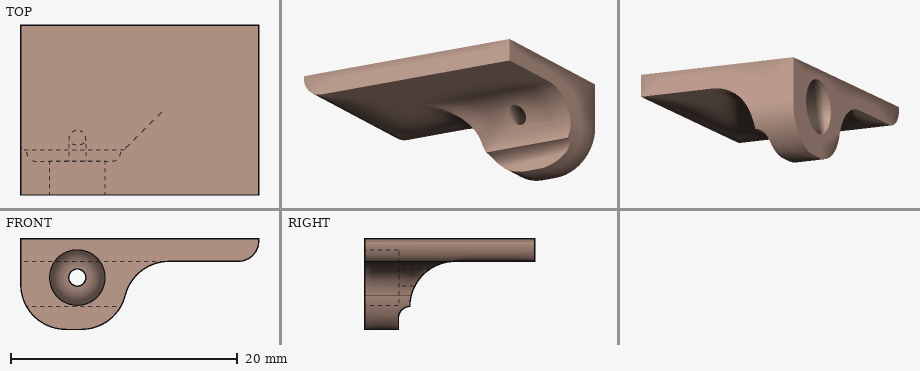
import cadquery as cq
import math

length = 21.0
width = 15.0
height = 8.0
plate_thickness = 2.0
tip_radius = 1.8

bend_radius = 4.0
lug_right_center_x = 5.35
lug_thickness = 4.0
step_radius = 1.0

hole_x = 5.0
hole_depth_below_top = 3.42
hole_diameter = 1.5
counterbore_diameter = 4.9
counterbore_depth = 3.0

CUT_MARGIN = 0.2
DIAGONAL = math.sqrt(0.5)

plate_bottom = height - plate_thickness
fillet_center_z = plate_bottom - bend_radius


def front_profile():
    """XZ outline: plate with rounded tip and a lug with tangent arcs."""
    rise = bend_radius - fillet_center_z
    run = math.sqrt((2 * bend_radius) ** 2 - rise**2)
    fillet_center_x = lug_right_center_x + run
    tangent_point = (lug_right_center_x + run / 2, bend_radius - rise / 2)
    tip_x = length - tip_radius
    return (
        cq.Workplane("XZ")
        .moveTo(0, height)
        .lineTo(0, bend_radius)
        .threePointArc(
            (bend_radius * (1 - DIAGONAL), bend_radius * (1 - DIAGONAL)),
            (bend_radius, 0),
        )
        .lineTo(lug_right_center_x, 0)
        .tangentArcPoint(tangent_point, relative=False)
        .tangentArcPoint((fillet_center_x, plate_bottom), relative=False)
        .lineTo(tip_x, plate_bottom)
        .tangentArcPoint((length, plate_bottom + tip_radius), relative=False)
        .lineTo(length, height)
        .close()
    )


def rear_clearance():
    """Space behind the lug: filleted under the plate, stepped at the bottom."""
    fillet_center_y = lug_thickness + bend_radius
    step_y = lug_thickness - step_radius
    step_center_z = fillet_center_z - step_radius
    return (
        cq.Workplane("YZ")
        .workplane(offset=-CUT_MARGIN)
        .moveTo(width + CUT_MARGIN, plate_bottom)
        .lineTo(fillet_center_y, plate_bottom)
        .threePointArc(
            (fillet_center_y - bend_radius * DIAGONAL, fillet_center_z + bend_radius * DIAGONAL),
            (lug_thickness, fillet_center_z),
        )
        .threePointArc(
            (lug_thickness - step_radius * DIAGONAL, step_center_z + step_radius * DIAGONAL),
            (step_y, step_center_z),
        )
        .lineTo(step_y, -CUT_MARGIN)
        .lineTo(width + CUT_MARGIN, -CUT_MARGIN)
        .close()
        .extrude(length + 2 * CUT_MARGIN)
    )


def cylinder_along_y(diameter, depth):
    """Cylinder from the front face at the hole position."""
    hole_z = height - hole_depth_below_top
    return (
        cq.Workplane("XZ")
        .center(hole_x, hole_z)
        .circle(diameter / 2)
        .extrude(-depth)
    )


result = front_profile().extrude(-width).cut(rear_clearance())
result = result.cut(cylinder_along_y(hole_diameter, width))
result = result.cut(cylinder_along_y(counterbore_diameter, counterbore_depth))